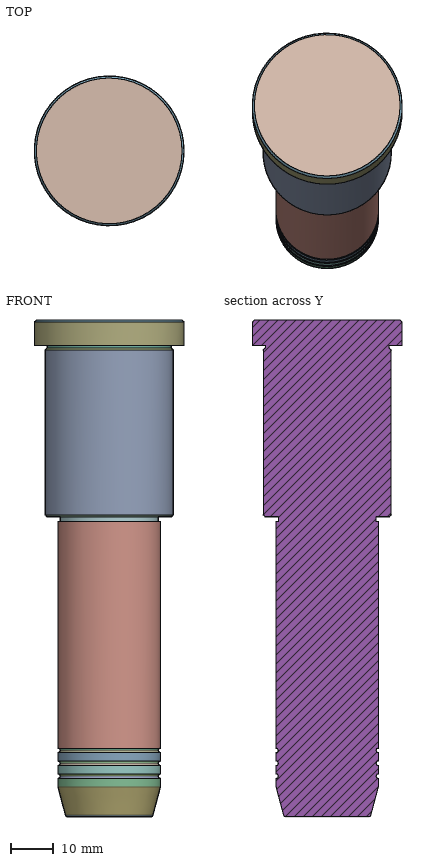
import cadquery as cq
import math

total_length = 116.0
head_height = 6.0
shoulder_end = 46.0
nose_length = 7.0
nose_start = total_length - nose_length

head_diameter = 35.0
shoulder_diameter = 30.0
pin_diameter = 24.0

edge_chamfer = 0.5

relief_width = 1.0
relief_depth = 0.5

groove_radius = 0.5
groove_pitch = 3.0
groove_count = 3
first_groove_start = 100.0

nose_angle = 15.0
tip_rounding = 0.5


def cylinder(diameter, start, end):
    """Solid cylinder on the Z axis between two depths below the top face."""
    return cq.Workplane("XY").workplane(offset=-end).circle(diameter / 2).extrude(end - start)


def make_head():
    return cylinder(head_diameter, 0, head_height).faces(">Z").edges().chamfer(edge_chamfer)


def make_shoulder():
    """Shoulder with both ends chamfered, hung from a short relief under the head."""
    relief = cylinder(shoulder_diameter - 2 * relief_depth, head_height, head_height + relief_width)
    body = cylinder(shoulder_diameter, head_height + relief_width - edge_chamfer, shoulder_end)
    return relief.union(body.edges().chamfer(edge_chamfer))


def make_pin():
    """Pin with a relief under the shoulder and a conical nose, revolved about Z."""
    radius = pin_diameter / 2
    relief_radius = radius - relief_depth
    relief_end = shoulder_end + relief_width
    tip_radius = radius - nose_length * math.tan(math.radians(nose_angle))
    profile = (
        cq.Workplane("XZ")
        .moveTo(0, -shoulder_end)
        .lineTo(relief_radius, -shoulder_end)
        .lineTo(relief_radius, -relief_end)
        .lineTo(radius, -relief_end)
        .lineTo(radius, -nose_start)
        .lineTo(tip_radius, -total_length)
        .lineTo(0, -total_length)
        .close()
    )
    pin = profile.revolve(360, (0, 0, 0), (0, 1, 0))
    return pin.faces("<Z").edges().fillet(tip_rounding)


def make_groove(start):
    """Ring cutter with a half-round section, made of two quarter arcs meeting at the groove floor."""
    radius = pin_diameter / 2
    floor_radius = radius - groove_radius
    middle = start + groove_radius
    end = start + 2 * groove_radius
    profile = (
        cq.Workplane("XZ")
        .moveTo(radius, -start)
        .radiusArc((floor_radius, -middle), -groove_radius)
        .radiusArc((radius, -end), -groove_radius)
        .close()
    )
    return profile.revolve(360, (0, 0, 0), (0, 1, 0), clean=False)


result = make_head().union(make_shoulder()).union(make_pin())
for index in range(groove_count):
    result = result.cut(make_groove(first_groove_start + index * groove_pitch), clean=False)